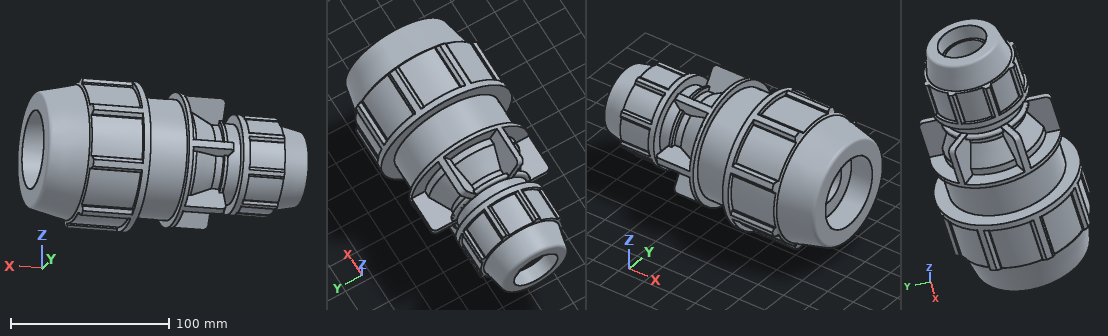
import cadquery as cq


LENGTH = 175.0
EMBED = 0.9

SMALL_NUT = {
    "face_radius": 24.0,
    "end_fillet": 2.5,
    "cone_length": 17.7,
    "cone_radius": 27.8,
    "barrel_start": 17.7,
    "barrel_radius": 30.0,
    "rib_start": 18.0,
    "flange_start": 41.1,
    "flange_end": 45.5,
    "flange_radius": 64.0 / 2,
    "rib_top_width": 2.8,
    "rib_base_width": 5.8,
    "rib_foot_height": 0.4,
}
LARGE_NUT = {
    "face_radius": 37.5,
    "end_fillet": 2.6,
    "cone_length": 25.0,
    "cone_radius": 43.2,
    "barrel_start": 26.0,
    "barrel_radius": 44.8,
    "rib_start": 27.1,
    "flange_start": 59.5,
    "flange_end": 63.9,
    "flange_radius": 96.0 / 2,
    "rib_top_width": 4.4,
    "rib_base_width": 8.2,
    "rib_foot_height": 0.9,
}
NUT_RIB_COUNT = 8

NECK_RADIUS = 51.3 / 2
TAPER_START = 62.0
TAPER_END = 76.8
TAPER_RADIUS = 33.2
DISC_START = 81.7
DISC_END = 84.5
DISC_RADIUS = 86.5 / 2
BARREL_RADIUS = 76.8 / 2

WING_START = 54.5
WING_COUNT = 6
WING_THICKNESS = 4.7
WING_CORNER_FILLET = 3.5
RING_START = 54.6
RING_WIDTH = 2.5
RING_RADIUS = 28.7
RING_FILLET = 1.0

SMALL_SOCKET_RADIUS = 32.0 / 2
SMALL_SOCKET_DEPTH = 10.5
LARGE_SOCKET_RADIUS = 50.0 / 2
LARGE_SOCKET_DEPTH = SMALL_SOCKET_DEPTH * LARGE_SOCKET_RADIUS / SMALL_SOCKET_RADIUS
THROUGH_RADIUS = 14.4


def cylinder(start, end, radius):
    """Cylinder on the X axis between two axial positions."""
    return cq.Workplane("YZ", origin=(start, 0, 0)).circle(radius).extrude(end - start)


def revolved(profile):
    """Solid of revolution about X from (axial position, radius) points."""
    first, last = profile[0], profile[-1]
    outline = [(first[0], 0)] + profile + [(last[0], 0)]
    return cq.Workplane("XY").polyline(outline).close().revolve(360, (0, 0, 0), (1, 0, 0))


def nut_ribs(size):
    """Flared grip ribs, flush with the flange and bevelled at the outer end."""
    half_base = size["rib_base_width"] / 2
    half_top = size["rib_top_width"] / 2
    root = size["barrel_radius"] - EMBED
    foot = size["barrel_radius"] + size["rib_foot_height"]
    section = [
        (-half_base, root),
        (-half_base, foot),
        (-half_top, size["flange_radius"]),
        (half_top, size["flange_radius"]),
        (half_base, foot),
        (half_base, root),
    ]
    rib = (
        cq.Workplane("YZ", origin=(size["barrel_start"], 0, 0))
        .polyline(section)
        .close()
        .extrude(size["flange_end"] - size["barrel_start"])
    )
    pitch = 360 / NUT_RIB_COUNT
    ribs = cq.Workplane("XY")
    for index in range(NUT_RIB_COUNT):
        ribs = ribs.add(rib.rotate((0, 0, 0), (1, 0, 0), pitch * (index + 0.5)))
    envelope = revolved([
        (size["barrel_start"], size["barrel_radius"]),
        (size["rib_start"], size["flange_radius"]),
        (size["flange_end"], size["flange_radius"]),
    ])
    return ribs.combine().intersect(envelope)


def clamp_nut(size):
    """Solid nut with its outer end face at x = 0, reaching inward along +X."""
    shell = revolved([
        (0, size["face_radius"]),
        (size["cone_length"], size["cone_radius"]),
        (size["barrel_start"], size["barrel_radius"]),
        (size["flange_start"], size["barrel_radius"]),
        (size["flange_start"], size["flange_radius"]),
        (size["flange_end"], size["flange_radius"]),
    ])
    shell = shell.faces("<X").edges().fillet(size["end_fillet"])
    return shell.union(nut_ribs(size))


def body():
    """Neck, taper, disc and barrel that join the two nuts."""
    return revolved([
        (SMALL_NUT["flange_end"] - EMBED, NECK_RADIUS),
        (TAPER_START, NECK_RADIUS),
        (TAPER_END, TAPER_RADIUS),
        (DISC_START, TAPER_RADIUS),
        (DISC_START, DISC_RADIUS),
        (DISC_END, DISC_RADIUS),
        (DISC_END, BARREL_RADIUS),
        (LENGTH - LARGE_NUT["flange_end"] + EMBED, BARREL_RADIUS),
    ])


def wings():
    """Radial wings in front of the disc, the first pair lying along Y."""
    root = NECK_RADIUS - EMBED
    wing = (
        cq.Workplane("XY")
        .box(DISC_START - WING_START, DISC_RADIUS - root, WING_THICKNESS, centered=(False, False, True))
        .translate((WING_START, root, 0))
        .edges("<X and >Y")
        .fillet(WING_CORNER_FILLET)
    )
    envelope = cylinder(WING_START, DISC_START, DISC_RADIUS)
    all_wings = cq.Workplane("XY")
    for index in range(WING_COUNT):
        all_wings = all_wings.add(wing.rotate((0, 0, 0), (1, 0, 0), index * 360 / WING_COUNT))
    return all_wings.combine().intersect(envelope)


def retaining_ring():
    """Narrow collar on the neck with a rounded front edge."""
    ring = cylinder(RING_START, RING_START + RING_WIDTH, RING_RADIUS)
    return ring.faces("<X").edges().fillet(RING_FILLET)


small_nut = clamp_nut(SMALL_NUT)
large_nut = clamp_nut(LARGE_NUT).rotate((0, 0, 0), (0, 0, 1), 180).translate((LENGTH, 0, 0))

result = body().union(small_nut).union(large_nut).union(retaining_ring()).union(wings())

result = result.cut(cylinder(0, LENGTH, THROUGH_RADIUS))
result = result.cut(cylinder(0, SMALL_SOCKET_DEPTH, SMALL_SOCKET_RADIUS))
result = result.cut(cylinder(LENGTH - LARGE_SOCKET_DEPTH, LENGTH, LARGE_SOCKET_RADIUS))